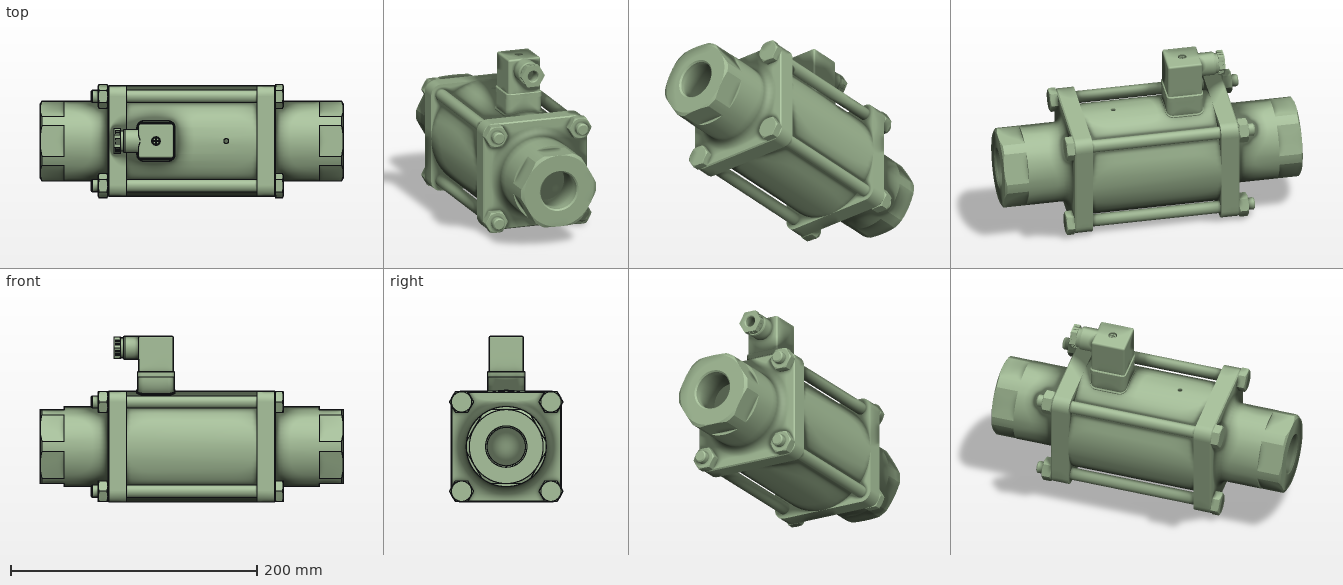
import cadquery as cq
import math


HEX_SIDES = 6
HEX_HALF_ANGLE = math.pi / HEX_SIDES

overall_length = 246.0
fitting_radius = 32.5
flats_width = 60.0
flats_length = 19.5
end_chamfer_radial = 2.5
end_chamfer_axial = 1.4
shoulder_fillet = 6.0
port_radius = 15.6
port_chamfer = 1.2
port_depth = 30.0

body_radius = 45.0
plate_size = 2 * body_radius
plate_inner_x = 53.0
plate_outer_x = 68.0
plate_chamfer = 1.0

rod_offset = 36.25
rod_radius = 5.0
rod_end_chamfer = 1.0
rod_end_x = -81.7
hex_width = 17.0
corner_chamfer_angle = math.radians(30)
hex_face_radius = 8.25
nut_height = 8.0
bolt_head_height = 6.4

vent_x = 28.0
vent_radius = 2.0
vent_depth = 4.0

connector_x = -29.05
connector_top_z = 89.7
collar_top_z = 61.0
collar_bottom_z = 56.5
collar_length = 30.2
collar_width = 30.7
collar_corner = 3.6
collar_chamfer = 0.6
housing_length = 28.2
housing_width = 27.8
housing_fillet = 1.6
base_inset = 0.15
base_corner = 5.0
gasket_length = 31.2
gasket_width = 33.2
gasket_thickness = 0.8
gasket_corner = 6.0

screw_hole_radius = 3.5
screw_hole_depth = 3.0
screw_head_radius = 2.7
screw_head_height = 2.0
screw_slot_width = 0.9
screw_slot_length = 4.2
screw_slot_depth = 1.0

gland_z = 80.2
barrel_radius = connector_top_z - gland_z
barrel_start_x = -55.5
barrel_end_x = -40.0
barrel_chamfer_axial = 1.4
barrel_chamfer_radial = 0.5
neck_radius = 8.2
gland_nut_x = -58.0
gland_nut_end_x = -63.1
gland_nut_width = 17.5
gland_bore_radius = 4.3
gland_bore_chamfer = 0.7
gland_bore_depth = 12.0
grip_rim = 1.2
grip_slot_width = 1.3
grip_slot_depth = 0.7
grip_slot_offset = 1.6


def x_plane(x, y=0.0, z=0.0):
    """Plane facing +X whose local axes are Y and Z."""
    return cq.Workplane(cq.Plane(origin=(x, y, z), xDir=(0, 1, 0), normal=(1, 0, 0)))


def x_cylinder(x_start, x_end, radius, y=0.0, z=0.0):
    return x_plane(x_start, y, z).circle(radius).extrude(x_end - x_start)


def x_hexagon(x_start, x_end, width, y=0.0, z=0.0):
    """Hexagonal prism along X with flats facing +Z and -Z."""
    corner_diameter = width / math.cos(HEX_HALF_ANGLE)
    return x_plane(x_start, y, z).polygon(HEX_SIDES, corner_diameter).extrude(x_end - x_start)


def rounded_block(length, width, z_bottom, z_top, corner):
    """Block over the connector position with rounded vertical corners."""
    block = cq.Workplane("XY", origin=(connector_x, 0, z_bottom)).rect(length, width)
    return block.extrude(z_top - z_bottom).edges("|Z").fillet(corner)


def right_fitting():
    """Fitting on the +X side: flared shoulder, hexagon flats and blind port."""
    end_x = overall_length / 2
    flare = fitting_radius + shoulder_fillet
    arc_offset = shoulder_fillet * (1 - math.sqrt(0.5))
    profile = (
        cq.Workplane("XZ")
        .moveTo(0, 0)
        .lineTo(0, flare)
        .lineTo(plate_outer_x, flare)
        .threePointArc(
            (plate_outer_x + arc_offset, fitting_radius + arc_offset),
            (plate_outer_x + shoulder_fillet, fitting_radius),
        )
        .lineTo(end_x - end_chamfer_axial, fitting_radius)
        .lineTo(end_x, fitting_radius - end_chamfer_radial)
        .lineTo(end_x, 0)
        .close()
    )
    fitting = profile.revolve(360, (0, 0, 0), (1, 0, 0))
    flats_x = end_x - flats_length
    waste = x_cylinder(flats_x, end_x, body_radius).cut(x_hexagon(flats_x, end_x, flats_width))
    fitting = fitting.cut(waste).cut(x_cylinder(end_x - port_depth, end_x, port_radius))
    return fitting.faces(">X").edges(cq.selectors.RadiusNthSelector(0)).chamfer(port_chamfer)


def right_plate():
    """Square end plate on the +X side, corners concentric with the tie rods."""
    plate = x_plane(plate_inner_x).rect(plate_size, plate_size)
    plate = plate.extrude(plate_outer_x - plate_inner_x)
    plate = plate.edges("|X").fillet(plate_size / 2 - rod_offset)
    return plate.faces(">X").chamfer(plate_chamfer)


def turned_hexagon(x_start, x_end, chamfered_faces, y, z):
    """Nut or bolt head whose corners are turned off on the chosen faces."""
    corner_radius = hex_width / 2 / math.cos(HEX_HALF_ANGLE)
    chamfer_radial = corner_radius - hex_face_radius
    chamfer_axial = chamfer_radial * math.tan(corner_chamfer_angle)
    turning = x_cylinder(x_start, x_end, corner_radius, y, z)
    turning = turning.faces(chamfered_faces).chamfer(chamfer_axial, chamfer_radial)
    return x_hexagon(x_start, x_end, hex_width, y, z).intersect(turning)


def tie_rod(y, z):
    """Rod with its nut on the -X plate and bolt head on the +X plate."""
    rod = x_cylinder(rod_end_x, plate_outer_x, rod_radius, y, z)
    rod = rod.faces("<X").chamfer(rod_end_chamfer)
    nut = turned_hexagon(-plate_outer_x - nut_height, -plate_outer_x, "<X or >X", y, z)
    head = turned_hexagon(plate_outer_x, plate_outer_x + bolt_head_height, ">X", y, z)
    return rod.union(nut).union(head)


def connector():
    """Gasket, base, collar and housing stacked on the curved body."""
    gasket = rounded_block(gasket_length, gasket_width, 0, collar_bottom_z, gasket_corner)
    gasket = gasket.intersect(x_cylinder(-plate_inner_x, 0, body_radius + gasket_thickness))
    base_length = collar_length - 2 * base_inset
    base_width = collar_width - 2 * base_inset
    base = rounded_block(base_length, base_width, 0, collar_bottom_z, base_corner)
    collar = rounded_block(collar_length, collar_width, collar_bottom_z, collar_top_z, collar_corner)
    collar = collar.faces(">Z").chamfer(collar_chamfer)
    housing = cq.Workplane("XY", origin=(connector_x, 0, collar_bottom_z))
    housing = housing.rect(housing_length, housing_width).extrude(connector_top_z - collar_bottom_z)
    housing = housing.edges("|Z or >Z").fillet(housing_fillet)
    return gasket.union(base).union(collar).union(housing)


def connector_screw_recess():
    """Material removed around and inside the sunken screw head."""
    floor_z = connector_top_z - screw_hole_depth
    head_z = floor_z + screw_head_height
    floor = cq.Workplane("XY", origin=(connector_x, 0, floor_z))
    hole = floor.circle(screw_hole_radius).extrude(screw_hole_depth)
    head = floor.circle(screw_head_radius).extrude(screw_head_height)
    head_top = cq.Workplane("XY", origin=(connector_x, 0, head_z))
    slot_x = head_top.rect(screw_slot_length, screw_slot_width).extrude(-screw_slot_depth)
    slot_y = head_top.rect(screw_slot_width, screw_slot_length).extrude(-screw_slot_depth)
    return hole.cut(head.cut(slot_x).cut(slot_y))


def gland_nut():
    """Hexagonal gland nut with two grip slots on every flat."""
    nut = x_hexagon(gland_nut_end_x, gland_nut_x, gland_nut_width, 0, gland_z)
    slot_start = gland_nut_end_x + grip_rim
    for side in (-1, 1):
        slot = x_plane(slot_start, 0, gland_z)
        slot = slot.center(side * grip_slot_offset, gland_nut_width / 2)
        slot = slot.rect(grip_slot_width, 2 * grip_slot_depth).extrude(gland_nut_x - slot_start)
        for flat in range(HEX_SIDES):
            angle = flat * 360 / HEX_SIDES
            nut = nut.cut(slot.rotate((0, 0, gland_z), (1, 0, gland_z), angle))
    return nut


def cable_gland():
    """Round gland barrel, neck and nut with a blind cable hole."""
    barrel = x_cylinder(barrel_start_x, barrel_end_x, barrel_radius, 0, gland_z)
    barrel = barrel.faces("<X").chamfer(barrel_chamfer_axial, barrel_chamfer_radial)
    neck = x_cylinder(gland_nut_x, barrel_start_x, neck_radius, 0, gland_z)
    gland = barrel.union(neck).union(gland_nut())
    bore_end_x = gland_nut_end_x + gland_bore_depth
    gland = gland.cut(x_cylinder(gland_nut_end_x, bore_end_x, gland_bore_radius, 0, gland_z))
    return gland.faces("<X").edges("%CIRCLE").chamfer(gland_bore_chamfer)


def vent_hole():
    vent = cq.Workplane("XY", origin=(vent_x, 0, body_radius - vent_depth))
    return vent.circle(vent_radius).extrude(2 * vent_depth)


body = x_cylinder(-plate_inner_x, plate_inner_x, body_radius)
right_end = right_plate().union(right_fitting())
left_end = right_end.mirror("YZ")
valve = body.union(right_end).union(left_end)
for rod_y in (-rod_offset, rod_offset):
    for rod_z in (-rod_offset, rod_offset):
        valve = valve.union(tie_rod(rod_y, rod_z))
valve = valve.union(connector()).union(cable_gland())
result = valve.cut(connector_screw_recess()).cut(vent_hole())